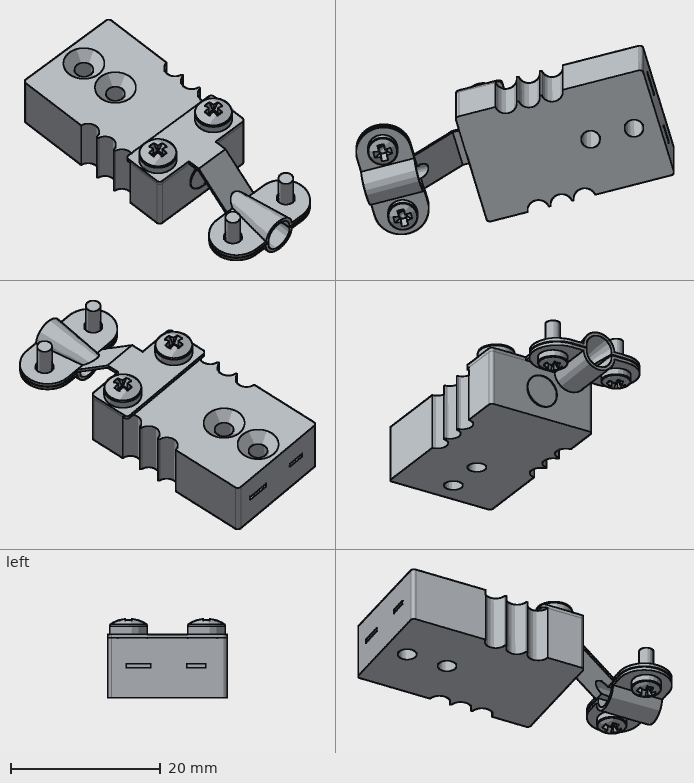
import cadquery as cq
import math


WIDTH = 16.0
HOUSING_LENGTH = 25.95
HOUSING_HEIGHT = 8.0
CORNER_RADIUS = 0.5

HOLE_X = (3.4, 9.4)
HOLE_DIAMETER = 2.5
SINK_DIAMETER = 5.48
SINK_DEPTH = 1.25

NOTCH_RADIUS = 1.45
NOTCH_OUTSET = 0.12
NOTCH_PITCH = 3.2
NOTCH_COUNT = 3
FIRST_NOTCH_X = 12.5
TOOTH_ROUND = 0.12

SLOT_Y = 3.85
SLOT_Z = 4.25
SLOT_THICKNESS = 0.53
SLOT_DEPTH = 4.85
WIDE_SLOT = 3.25
NARROW_SLOT = 2.5

BOSS_DIAMETER = 4.6
BOSS_HEIGHT = 0.15

SHEET = 0.5
FOOT_START_X = 19.55
FOOT_TOP_Z = HOUSING_HEIGHT + SHEET
NECK_WIDTH = 5.0
BEND_X = 27.82
END_START_X = 33.18
END_X = 40.55
END_LENGTH = END_X - END_START_X
END_MID_X = (END_START_X + END_X) / 2
END_TOP_Z = HOUSING_HEIGHT / 2
END_BOTTOM_Z = END_TOP_Z - SHEET

CONE_RADIUS = 2.45
CONE_TAPER = 0.135
CONE_AXIS_DROP = 0.2
CONE_AXIS_Z = END_TOP_Z - CONE_AXIS_DROP

PLATE_GAP = 0.12
CLAMP_TOP_Z = END_BOTTOM_Z - PLATE_GAP
CLAMP_BOTTOM_Z = CLAMP_TOP_Z - SHEET
TROUGH_RADIUS = 2.45
TROUGH_BOTTOM_Z = 0.65
TROUGH_AXIS_Z = TROUGH_BOTTOM_Z + TROUGH_RADIUS

STRAP_SCREW_X = 22.8
STRAP_SCREW_Y = 5.2
STRAP_HEAD_RADIUS = 2.5
STRAP_HEAD_SIDE = 1.1
STRAP_HEAD_RIM = 0.25
STRAP_HEAD_HEIGHT = 2.1

CLAMP_SCREW_X = 36.83
CLAMP_SCREW_Y = 4.95
CLAMP_SHAFT_DIAMETER = 2.0
CLAMP_SHAFT_TOP_Z = 7.9
CLAMP_HOLE_DIAMETER = 2.45
CLAMP_HEAD_RADIUS = 2.0
CLAMP_HEAD_SIDE = 0.9
CLAMP_HEAD_RIM = 0.12
CLAMP_HEAD_HEIGHT = 1.65

RIM_INSET = 0.1
RECESS_SPAN = 2.75
RECESS_FLOOR_SPAN = 1.05
RECESS_ARM_WIDTH = 0.85
RECESS_DEPTH = 1.2
RECESS_TIP_DEPTH = 0.32


def countersunk_hole(x):
    bore = cq.Workplane("XY").center(x, 0).circle(HOLE_DIAMETER / 2).extrude(HOUSING_HEIGHT)
    sink = cq.Solid.makeCone(
        HOLE_DIAMETER / 2, SINK_DIAMETER / 2, SINK_DEPTH,
        pnt=cq.Vector(x, 0, HOUSING_HEIGHT - SINK_DEPTH),
    )
    return bore.union(cq.Workplane(sink))


def cut_grip_notches(body):
    notch_places = [
        (FIRST_NOTCH_X + i * NOTCH_PITCH, side * (WIDTH / 2 + NOTCH_OUTSET))
        for i in range(NOTCH_COUNT) for side in (-1, 1)
    ]
    notches = cq.Workplane("XY").pushPoints(notch_places).circle(NOTCH_RADIUS).extrude(HOUSING_HEIGHT)
    body = body.cut(notches)
    tooth_edges = cq.selectors.BoxSelector(
        (FIRST_NOTCH_X, -WIDTH, 0),
        (FIRST_NOTCH_X + (NOTCH_COUNT - 1) * NOTCH_PITCH, WIDTH, HOUSING_HEIGHT),
    )
    return body.edges("|Z").edges(tooth_edges).fillet(TOOTH_ROUND)


def contact_slot(y, width):
    return (
        cq.Workplane("XY", origin=(0, y, SLOT_Z))
        .box(SLOT_DEPTH, width, SLOT_THICKNESS, centered=(False, True, True))
    )


def make_block():
    block = (
        cq.Workplane("XY")
        .box(HOUSING_LENGTH, WIDTH, HOUSING_HEIGHT, centered=(False, True, False))
        .edges("|Z").fillet(CORNER_RADIUS)
    )
    block = cut_grip_notches(block)
    for x in HOLE_X:
        block = block.cut(countersunk_hole(x))
    block = block.cut(contact_slot(SLOT_Y, WIDE_SLOT))
    block = block.cut(contact_slot(-SLOT_Y, NARROW_SLOT))
    boss = (
        cq.Workplane("YZ", origin=(HOUSING_LENGTH, 0, HOUSING_HEIGHT / 2))
        .circle(BOSS_DIAMETER / 2).extrude(BOSS_HEIGHT)
    )
    return block.union(boss)


def end_plate(bottom_z, hole_diameter):
    """Round-ended sheet with the two clamp screw holes."""
    return (
        cq.Workplane("XY", origin=(END_MID_X, 0, bottom_z))
        .slot2D(WIDTH, END_LENGTH, 90).extrude(SHEET)
        .faces(">Z").workplane(origin=(CLAMP_SCREW_X, 0, bottom_z + SHEET))
        .pushPoints([(0, -CLAMP_SCREW_Y), (0, CLAMP_SCREW_Y)])
        .hole(hole_diameter)
    )


def cable_cone(end_radius):
    length = end_radius / CONE_TAPER
    return cq.Workplane(cq.Solid.makeCone(
        0, end_radius, length,
        pnt=cq.Vector(END_X - length, 0, CONE_AXIS_Z), dir=cq.Vector(1, 0, 0),
    ))


def make_strap():
    foot = (
        cq.Workplane("XY", origin=(FOOT_START_X, 0, HOUSING_HEIGHT))
        .box(HOUSING_LENGTH - FOOT_START_X, WIDTH, SHEET, centered=(False, True, False))
        .edges("|Z").fillet(CORNER_RADIUS)
    )
    neck = (
        cq.Workplane("XZ", origin=(0, NECK_WIDTH / 2, 0))
        .polyline([
            (STRAP_SCREW_X, FOOT_TOP_Z),
            (BEND_X, FOOT_TOP_Z),
            (END_START_X, END_TOP_Z),
            (END_MID_X, END_TOP_Z),
            (END_MID_X, END_BOTTOM_Z),
            (END_START_X, END_BOTTOM_Z),
            (BEND_X, HOUSING_HEIGHT),
            (STRAP_SCREW_X, HOUSING_HEIGHT),
        ]).close().extrude(NECK_WIDTH)
    )
    above_sheet = (
        cq.Workplane("XZ", origin=(0, WIDTH / 2, 0))
        .polyline([
            (BEND_X, HOUSING_HEIGHT),
            (END_START_X, END_BOTTOM_Z),
            (END_X, END_BOTTOM_Z),
            (END_X, HOUSING_HEIGHT),
        ]).close().extrude(WIDTH)
    )
    bulge = cable_cone(CONE_RADIUS).intersect(above_sheet)
    strap = foot.union(neck).union(end_plate(END_BOTTOM_Z, CLAMP_HOLE_DIAMETER)).union(bulge)
    return strap.cut(cable_cone(CONE_RADIUS - SHEET))


def make_housing():
    return make_block().union(make_strap(), clean=False)


def trough_cylinder(radius):
    return (
        cq.Workplane("YZ", origin=(END_START_X, 0, TROUGH_AXIS_Z))
        .circle(radius).extrude(END_LENGTH)
    )


def make_clamp():
    below_top = (
        cq.Workplane("XY", origin=(END_MID_X, 0, 0))
        .box(END_LENGTH, WIDTH, CLAMP_TOP_Z, centered=(True, True, False))
    )
    plate = end_plate(CLAMP_BOTTOM_Z, CLAMP_SHAFT_DIAMETER)
    trough = trough_cylinder(TROUGH_RADIUS).intersect(below_top)
    return plate.union(trough).cut(trough_cylinder(TROUGH_RADIUS - SHEET))


def cross_recess(top_z):
    floor_z = top_z - RECESS_DEPTH

    def arm(plane):
        return (
            cq.Workplane(plane)
            .polyline([
                (-RECESS_SPAN / 2, top_z),
                (RECESS_SPAN / 2, top_z),
                (RECESS_FLOOR_SPAN / 2, floor_z),
                (-RECESS_FLOOR_SPAN / 2, floor_z),
            ]).close().extrude(RECESS_ARM_WIDTH / 2, both=True)
        )

    centre = (
        cq.Workplane("XZ")
        .polyline([
            (0, top_z),
            (RECESS_FLOOR_SPAN / 2, top_z),
            (RECESS_FLOOR_SPAN / 2, floor_z),
            (0, floor_z - RECESS_TIP_DEPTH),
        ]).close().revolve()
    )
    return arm("XZ").union(arm("YZ")).union(centre)


def screw_head(radius, side, rim, height):
    """Domed head standing on the XY plane, with a cross recess in its top."""
    rim_radius = radius - RIM_INSET
    dome_start = side + rim
    dome_rise = height - dome_start
    dome_radius = (rim_radius ** 2 + dome_rise ** 2) / (2 * dome_rise)
    mid_radius = rim_radius / 2
    mid_z = height - dome_radius + math.sqrt(dome_radius ** 2 - mid_radius ** 2)
    head = (
        cq.Workplane("XZ")
        .lineTo(radius, 0)
        .lineTo(radius, side)
        .lineTo(rim_radius, dome_start)
        .threePointArc((mid_radius, mid_z), (0, height))
        .close().revolve()
    )
    return head.cut(cross_recess(height))


def make_strap_screw(y):
    head = screw_head(STRAP_HEAD_RADIUS, STRAP_HEAD_SIDE, STRAP_HEAD_RIM, STRAP_HEAD_HEIGHT)
    return head.translate((STRAP_SCREW_X, y, FOOT_TOP_Z))


def make_clamp_screw(y):
    head = screw_head(CLAMP_HEAD_RADIUS, CLAMP_HEAD_SIDE, CLAMP_HEAD_RIM, CLAMP_HEAD_HEIGHT)
    head_down = head.rotate((0, 0, 0), (1, 0, 0), 180)
    shaft = (
        cq.Workplane("XY").circle(CLAMP_SHAFT_DIAMETER / 2)
        .extrude(CLAMP_SHAFT_TOP_Z - CLAMP_BOTTOM_Z)
    )
    return head_down.union(shaft).translate((CLAMP_SCREW_X, y, CLAMP_BOTTOM_Z))


housing = make_housing()
clamp = make_clamp()
strap_screws = [make_strap_screw(y) for y in (-STRAP_SCREW_Y, STRAP_SCREW_Y)]
clamp_screws = [make_clamp_screw(y) for y in (-CLAMP_SCREW_Y, CLAMP_SCREW_Y)]

result = cq.Compound.makeCompound([
    housing.val(),
    clamp.val(),
    *[screw.val() for screw in strap_screws],
    *[screw.val() for screw in clamp_screws],
])